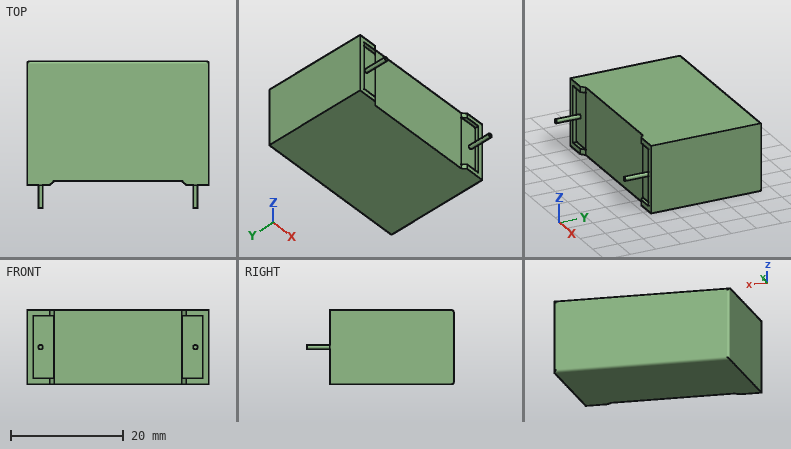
import cadquery as cq


length = 32.3
box_depth = 22.03
height = 13.2
wall = 1.05
back_radius = 0.5

recess_depth = 0.7
foot_width = 4.0
slope_width = 0.8

window_end = 4.78

pin_diameter = 0.8
pin_pitch = 27.5
pin_reach = 4.07

cavity_length = length - 2 * wall
cavity_height = height - 2 * wall
cavity_back = box_depth - wall
bridge_length = length - 2 * window_end
bridge_back = recess_depth + wall
resin_front = recess_depth


def block(size_x, size_z, y_front, y_back):
    """Box centred on X and Z that spans y_front to y_back."""
    return (
        cq.Workplane("XY")
        .box(size_x, y_back - y_front, size_z, centered=(True, False, True))
        .translate((0, y_front, 0))
    )


def make_recess():
    """Trapezoid that lifts the middle of the rim off the board."""
    half_mouth = length / 2 - foot_width
    half_floor = half_mouth - slope_width
    return (
        cq.Workplane("XY")
        .polyline([
            (-half_mouth, 0),
            (half_mouth, 0),
            (half_floor, recess_depth),
            (-half_floor, recess_depth),
        ])
        .close()
        .extrude(height / 2, both=True)
    )


def make_bridge():
    """Wall that closes the middle of the cavity behind the recess."""
    return block(bridge_length, cavity_height, 0, bridge_back)


def make_housing():
    """Box with a rounded back, a cavity, a bridge across its mouth and the recess."""
    shell = block(length, height, 0, box_depth).faces(">Y").edges().fillet(back_radius)
    cavity = block(cavity_length, cavity_height, 0, cavity_back)
    return shell.cut(cavity).union(make_bridge()).cut(make_recess())


def make_resin():
    """Filling of the cavity that reaches up to the windows on both sides of the bridge."""
    filling = block(cavity_length, cavity_height, resin_front, cavity_back)
    return filling.cut(make_bridge())


def make_pin(x):
    """Round pin standing on the resin in the window at x."""
    return (
        cq.Workplane("XZ", origin=(x, resin_front, 0))
        .circle(pin_diameter / 2)
        .extrude(resin_front + pin_reach)
    )


housing = make_housing()
resin = make_resin()
pins = [make_pin(side * pin_pitch / 2) for side in (-1, 1)]

result = cq.Compound.makeCompound([housing.val(), resin.val(), *[pin.val() for pin in pins]])